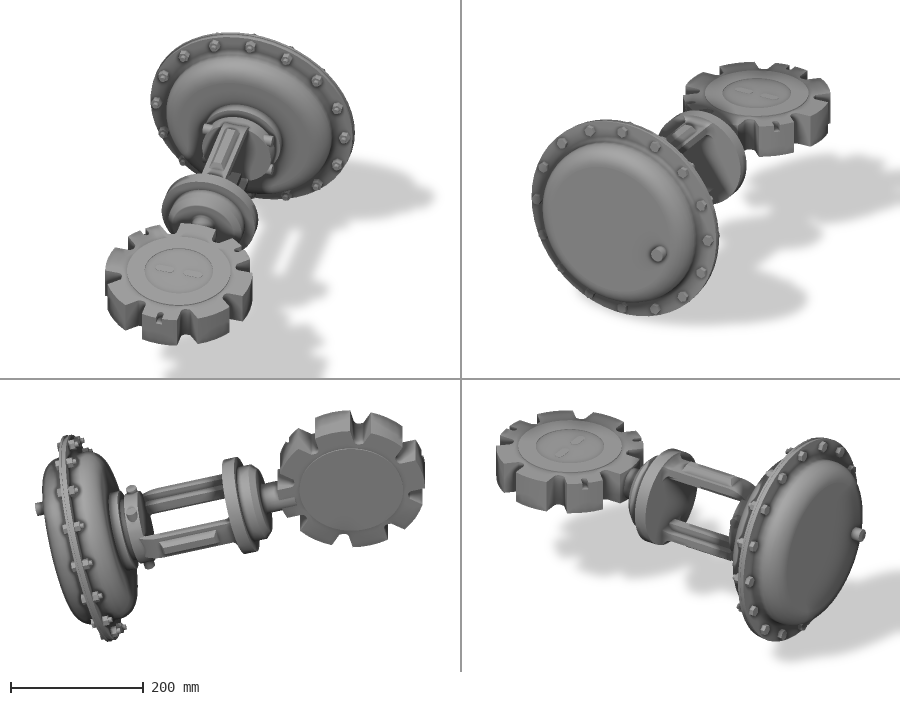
import cadquery as cq
import math


body_radius = 111.0
body_center_z = 7.0
body_thickness = 51.0
lug_width = 55.0
core_half_side = 79.0
notch_fillet = 7.5
face_radius = 78.0
face_height = 2.0
disc_radius = 51.5
disc_recess = 1.0
pad_length = 29.0
pad_width = 13.0
pad_offset = 22.0
pad_height = 0.5
slot_width = 9.0
slot_length = 15.0
slot_depth = 11.0
slot_angles = (45, 135, 270)

neck_low_radius = 20.0
neck_high_radius = 18.0
neck_high_z = 11.3
neck_fillet = 2.5
neck_start = 87.0

hub_start = 136.0
hub_end = 163.0
hub_radius = 57.0
hub_chamfer = 8.5
bonnet_end = 182.0
bonnet_radius = 73.0

arm_width = 37.0
arm_inner_z = 50.0
arm_outer_z = 62.0
arm_bend_y = 295.5
arm_bend_radius = 50.5
foot_cove = 8.5
rib_width = 15.0
rib_inner_z = 39.0
pad_base = (24.0, 89.0)
pad_top = (12.0, 79.0)
pad_center_y = 252.0
arm_pad_height = 9.0

clamp_start = 319.5
clamp_end = 340.0
clamp_radius = 54.0
throat_end = 348.5
throat_radius = 47.0
collar_end = 362.0
collar_radius = 60.0
screw_radius = 8.0
screw_y = 329.0
screw_z = 28.5

dome_height = 40.5
dome_radius = 128.5
dome_round = 26.5
dome_foot = 6.5
front_plate_start = 402.5
plate_thickness = 3.5
rear_plate_radius = 158.8
diaphragm_radius = 157.5
front_plate_radius = 158.0
diaphragm_start = front_plate_start + plate_thickness
rear_plate_start = diaphragm_start + plate_thickness
casing_rear = rear_plate_start + plate_thickness
dome_rear = casing_rear + dome_height

bolt_count = 16
bolt_circle_radius = 147.0
hex_corner_diameter = 16.0
head_height = 7.0
nut_height = 8.5
stud_radius = 4.0
stud_length = 5.0

port_radius = 10.0
port_x = -87.0
port_z = -17.5
total_length = 578.5
port_end = total_length - body_radius


def at_y(y):
    """Work plane at the given Y whose normal is +Y, with local x = X and local y = -Z."""
    return cq.Workplane(cq.Plane(origin=(0, y, 0), xDir=(1, 0, 0), normal=(0, 1, 0)))


def ring(radius, start, end):
    """Cylinder on the actuator axis."""
    return at_y(start).circle(radius).extrude(end - start)


def make_valve_body():
    bottom = body_center_z - body_thickness / 2
    top = bottom + body_thickness
    plane = cq.Workplane("XY").workplane(offset=bottom)
    body = plane.rect(2 * core_half_side, 2 * core_half_side).extrude(body_thickness)
    bar = plane.rect(4 * body_radius, lug_width).extrude(body_thickness)
    for angle in (0, 90):
        body = body.union(bar.rotate((0, 0, 0), (0, 0, 1), angle))
    root_distance = 1.1 * core_half_side
    roots = body.edges("|Z").filter(lambda e: math.hypot(e.Center().x, e.Center().y) < root_distance)
    body = body.newObject(roots.vals()).fillet(notch_fillet)
    for angle in (45, 135):
        body = body.union(bar.rotate((0, 0, 0), (0, 0, 1), angle))
    body = body.intersect(plane.circle(body_radius).extrude(body_thickness))

    face_bottom = bottom - face_height
    faces = cq.Workplane("XY").workplane(offset=face_bottom).circle(face_radius)
    body = body.union(faces.extrude(body_thickness + 2 * face_height))

    disc_top = top + face_height - disc_recess
    disc_plane = cq.Workplane("XY").workplane(offset=disc_top)
    body = body.cut(disc_plane.circle(disc_radius).extrude(disc_recess))
    pads = disc_plane.pushPoints([(-pad_offset, 0), (pad_offset, 0)]).slot2D(pad_length, pad_width)
    body = body.union(pads.extrude(pad_height))

    slot = (
        cq.Workplane("XY", origin=(body_radius, 0, top - slot_depth))
        .slot2D(2 * slot_length, slot_width)
        .extrude(slot_depth)
    )
    for angle in slot_angles:
        body = body.cut(slot.rotate((0, 0, 0), (0, 0, 1), angle))
    return body


def make_neck():
    sin_t = (neck_low_radius - neck_high_radius) / neck_high_z
    cos_t = math.sqrt(1 - sin_t**2)
    low_x = neck_low_radius * cos_t
    low_z = neck_low_radius * sin_t
    high_x = neck_high_radius * cos_t
    high_z = neck_high_z + neck_high_radius * sin_t
    return (
        at_y(neck_start)
        .moveTo(low_x, -low_z)
        .lineTo(high_x, -high_z)
        .threePointArc((0, -neck_high_z - neck_high_radius), (-high_x, -high_z))
        .lineTo(-low_x, -low_z)
        .threePointArc((0, neck_low_radius), (low_x, -low_z))
        .close()
        .extrude(hub_start - neck_start)
    )


def make_bonnet():
    hub = ring(hub_radius, hub_start, hub_end).faces("<Y").chamfer(hub_chamfer)
    bonnet = hub.union(make_neck())
    neck_root = cq.selectors.BoxSelector((-23, hub_start - 0.5, -23), (23, hub_start + 0.5, 35))
    return bonnet.edges(neck_root).fillet(neck_fillet)


def coved_strip(low, high):
    """Strip across X from low to high whose sides flare out in coves down to the bonnet flange."""
    arc_mid = foot_cove * (1 - math.sqrt(0.5))
    strip_length = 4 * bonnet_radius
    return (
        cq.Workplane("XY")
        .moveTo(low - foot_cove, bonnet_end)
        .threePointArc((low - arc_mid, bonnet_end + arc_mid), (low, bonnet_end + foot_cove))
        .lineTo(high, bonnet_end + foot_cove)
        .threePointArc((high + arc_mid, bonnet_end + arc_mid), (high + foot_cove, bonnet_end))
        .close()
        .extrude(strip_length / 2, both=True)
    )


def make_yoke():
    """Bonnet flange carrying the two arms with their inner ribs and outer pads."""
    bend_center_z = arm_outer_z - arm_bend_radius
    bend_mid = math.radians(70)
    arm_end = clamp_end - 8.5
    end_z = bend_center_z + math.sqrt(arm_bend_radius**2 - (arm_end - arm_bend_y) ** 2)
    rib_depth = arm_inner_z - rib_inner_z

    arm = (
        cq.Workplane("YZ", origin=(-arm_width / 2, 0, 0))
        .moveTo(bonnet_end, arm_outer_z)
        .lineTo(arm_bend_y, arm_outer_z)
        .threePointArc(
            (
                arm_bend_y + arm_bend_radius * math.cos(bend_mid),
                bend_center_z + arm_bend_radius * math.sin(bend_mid),
            ),
            (arm_end, end_z),
        )
        .lineTo(arm_end, arm_inner_z - 6)
        .lineTo(clamp_start, arm_inner_z - 3.0)
        .lineTo(clamp_start - 3.5, arm_inner_z)
        .lineTo(bonnet_end, arm_inner_z)
        .close()
        .extrude(arm_width)
    )
    rib = cq.Workplane("XY").box(
        rib_width, clamp_start - bonnet_end, rib_depth, centered=(True, False, False)
    ).translate((0, bonnet_end, rib_inner_z))
    pad = (
        cq.Workplane("XY", origin=(0, pad_center_y, arm_outer_z))
        .rect(*pad_base)
        .workplane(offset=arm_pad_height)
        .rect(*pad_top)
        .loft()
    )
    foot = coved_strip(-arm_width / 2, arm_width / 2)
    foot = foot.intersect(coved_strip(arm_inner_z, arm_outer_z).rotate((0, 0, 0), (0, 1, 0), -90))
    foot = foot.intersect(ring(bonnet_radius, bonnet_end, bonnet_end + foot_cove))

    arm = arm.union(foot).union(rib).union(pad)
    yoke = ring(bonnet_radius, hub_end, bonnet_end)
    for angle in (0, 180):
        yoke = yoke.union(arm.rotate((0, 0, 0), (0, 1, 0), angle))
    return yoke


def make_collars():
    collars = ring(clamp_radius, clamp_start, clamp_end)
    collars = collars.union(ring(throat_radius, clamp_end, throat_end))
    collars = collars.union(ring(collar_radius, throat_end, collar_end))
    screws = (
        cq.Workplane("YZ", origin=(-clamp_radius, 0, 0))
        .pushPoints([(screw_y, -screw_z), (screw_y, screw_z)])
        .circle(screw_radius)
        .extrude(2 * clamp_radius)
    )
    return collars.union(screws)


def make_dome():
    """Rear half of the casing with a filleted foot and a rounded rim, standing on the rear plate."""
    arc_mid = math.sqrt(0.5)
    foot_radius = dome_radius + dome_foot
    rim_radius = dome_radius - dome_round
    rim_y = dome_rear - dome_round
    profile = (
        cq.Workplane("XY")
        .moveTo(0, casing_rear)
        .lineTo(foot_radius, casing_rear)
        .threePointArc(
            (foot_radius - dome_foot * arc_mid, casing_rear + dome_foot * (1 - arc_mid)),
            (dome_radius, casing_rear + dome_foot),
        )
        .lineTo(dome_radius, rim_y)
        .threePointArc(
            (rim_radius + dome_round * arc_mid, rim_y + dome_round * arc_mid),
            (rim_radius, dome_rear),
        )
        .lineTo(0, dome_rear)
        .close()
    )
    return profile.revolve(360, (0, 0, 0), (0, 1, 0))


def make_bolts():
    """Hex head behind the plates, nut and stud end in front of them, repeated round the rim."""
    nut_start = front_plate_start - nut_height
    head = at_y(casing_rear).polygon(6, hex_corner_diameter).extrude(head_height)
    nut = at_y(nut_start).polygon(6, hex_corner_diameter).extrude(nut_height)
    stud = ring(stud_radius, nut_start - stud_length, nut_start)
    bolts = cq.Workplane("XY")
    for i in range(bolt_count):
        for piece in (head, nut, stud):
            moved = piece.translate((bolt_circle_radius, 0, 0))
            bolts = bolts.add(moved.rotate((0, 0, 0), (0, 1, 0), i * 360 / bolt_count))
    return bolts


def make_casing():
    casing = ring(front_plate_radius, front_plate_start, diaphragm_start)
    casing = casing.union(ring(diaphragm_radius, diaphragm_start, rear_plate_start))
    casing = casing.union(ring(rear_plate_radius, rear_plate_start, casing_rear))
    rear_dome = make_dome()
    middle_y = (front_plate_start + casing_rear) / 2
    front_dome = rear_dome.mirror("XZ", (0, middle_y, 0))
    port = (
        at_y(dome_rear)
        .center(port_x, -port_z)
        .circle(port_radius)
        .extrude(port_end - dome_rear)
    )
    casing = casing.union(rear_dome).union(front_dome).union(port)
    for piece in make_bolts().vals():
        casing = casing.union(cq.Workplane(piece))
    return casing


result = (
    make_valve_body()
    .union(make_bonnet())
    .union(make_yoke())
    .union(make_collars())
    .union(make_casing())
)